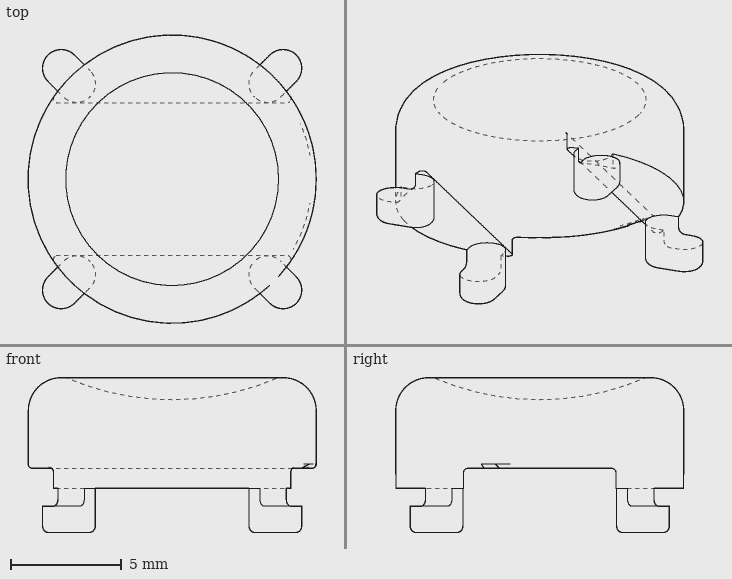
import cadquery as cq
import math

cap_radius = 6.5
total_height = 7.0
cap_bottom = 2.0
crown_round = 1.5

dish_radius = 4.8
dish_depth = 1.0

notch_half_width = 3.43
notch_top = 2.9
notch_corner_radius = 0.2
notch_rim_round = 0.2

foot_width = 1.69
foot_inner_center = 6.08
foot_outer_center = 7.07
foot_height = 1.2
foot_bottom_round = 0.3
heel_fillet = 0.3
foot_angles = (45, 135, 225, 315)


def make_cap():
    """Round cap with a rounded crown and a notch across its underside."""
    cap_height = total_height - cap_bottom
    cap = cq.Workplane("XY").workplane(offset=cap_bottom).circle(cap_radius).extrude(cap_height)
    cap = cap.faces(">Z").edges().fillet(crown_round)

    notch = (
        cq.Workplane("XY")
        .box(4 * cap_radius, 2 * notch_half_width, 2 * notch_top)
        .edges("|X and >Z")
        .fillet(notch_corner_radius)
    )
    cap = cap.cut(notch)

    zone_bottom = cap_bottom + notch_rim_round
    zone_top = notch_top + notch_rim_round
    for side in (-1, 1):
        rim_zone = cq.selectors.BoxSelector(
            (0, -cap_radius, zone_bottom),
            (side * 2 * cap_radius, cap_radius, zone_top),
        )
        cap = cap.edges(rim_zone).edges("not(|X)").fillet(notch_rim_round)
    return cap


def cut_dish(cap):
    """Hollow the crown with a sphere through the dish edge and its lowest point."""
    sphere_radius = (dish_radius**2 + dish_depth**2) / (2 * dish_depth)
    sphere_center = total_height - dish_depth + sphere_radius
    return cap.cut(cq.Workplane("XY").sphere(sphere_radius).translate((0, 0, sphere_center)))


def make_foot():
    """Foot pointing along +X, whose upper part follows the cap wall."""
    slot_center = (foot_inner_center + foot_outer_center) / 2
    slot_length = foot_outer_center - foot_inner_center + foot_width
    foot = (
        cq.Workplane("XY")
        .center(slot_center, 0)
        .slot2D(slot_length, foot_width)
        .extrude(cap_bottom)
        .faces("<Z")
        .edges()
        .fillet(foot_bottom_round)
    )

    clear_radius = foot_outer_center + foot_width
    sweep_middle = heel_fillet * (1 - math.sqrt(0.5))
    clearance = (
        cq.Workplane("XZ")
        .moveTo(cap_radius, cap_bottom)
        .lineTo(cap_radius, foot_height + heel_fillet)
        .threePointArc(
            (cap_radius + sweep_middle, foot_height + sweep_middle),
            (cap_radius + heel_fillet, foot_height),
        )
        .lineTo(clear_radius, foot_height)
        .lineTo(clear_radius, cap_bottom)
        .close()
        .revolve(360, (0, 0, 0), (0, 1, 0))
    )
    return foot.cut(clearance)


result = cut_dish(make_cap())
foot = make_foot()
for angle in foot_angles:
    result = result.union(foot.rotate((0, 0, 0), (0, 0, 1), angle))